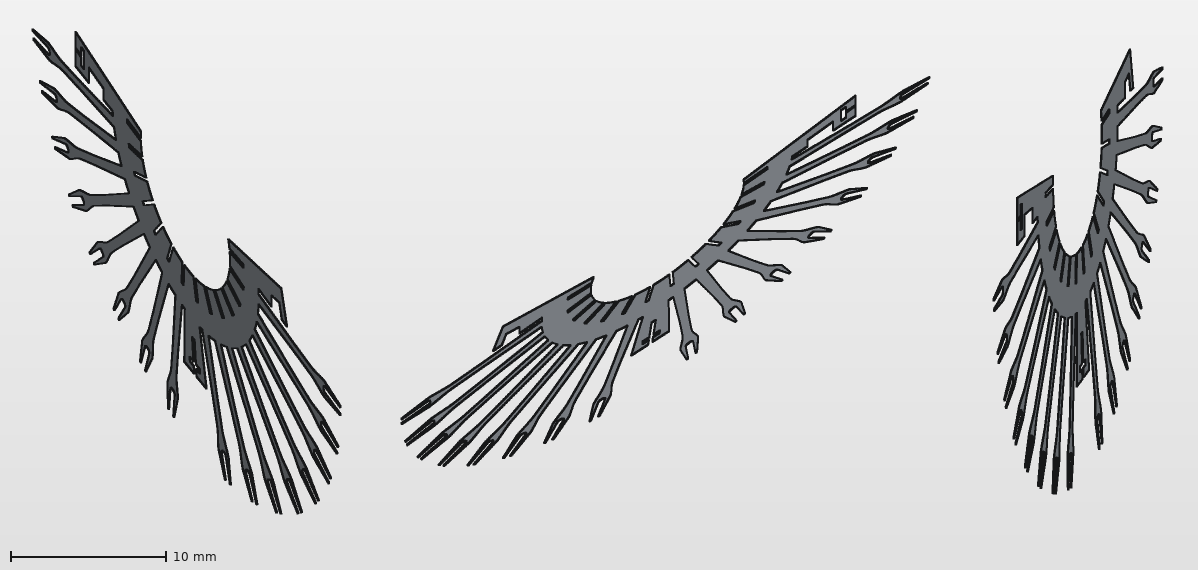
import cadquery as cq
import math


WIDTH = 42.75
SHEET = 0.05
OVERCUT = 0.43

RING_INNER = 6.2
RING_OUTER = 10.2
RIGHT_END_ANGLE = 16.1
LEFT_END_ANGLE = 173.9
ROOT = 9.4

TINE_GAPS = 17
TINE_PITCH = 180 / TINE_GAPS
TAB_INDEX = 8
TINE_ROOT_HALF = 0.45
TINE_NECK = 14.95
TINE_FLARE = 17.32
TINE_SHANK_HALF = 0.365
TINE_SHOULDER = 19.35
TINE_SHOULDER_HALF = 0.73
TINE_TIP_HALF = 0.43
LAST_TINE_DIP = math.radians(TINE_PITCH)
TINE_TIP = (WIDTH - TINE_TIP_HALF * math.sin(LAST_TINE_DIP)) / (1 + math.cos(LAST_TINE_DIP))
FLARE_END_SLOPE = 0.1
FORK_BOTTOM = 19.2
FORK_HALF = 0.3
FORK_CORNER = 0.2

SLOT_COUNT = 14
SLOT_PITCH = 14.4
SLOT_FIRST_ANGLE = 8
SLOT_WIDTH = 0.28
SLOT_END = 8.13

TAB_END = 15.0
TAB_HALF_ANGLE = 5.9
TAB_SLIT_START = 11.9
TAB_SLIT_WIDTH = 0.35
TAB_CROSS_AT = 14.15
TAB_CROSS_LENGTH = 1.4
TAB_CROSS_WIDTH = 0.4

HOOK_END = 13.85
HOOK_DROP = 2.9
HOOK_NOTCH_INNER = 12.05
HOOK_NOTCH_OUTER = 13.17
HOOK_NOTCH_DEPTH = 1.4
HOOK_FOOT_Z = 0.95

LEFT_EDGE_X = -15.25
LEFT_TOE_X = -13.45
LEFT_HEEL_X = -11.38
LEFT_TOE_Z = -1.55
LEFT_TOE_RISE = 0.13
LEFT_NOTCH_Z = 0.0
LEFT_NOTCH_DROP = 0.1
LEFT_HEEL_Z = -1.1
LEFT_SLOT_X = -14.3
LEFT_SLOT_Z = 0.1
LEFT_SLOT_LENGTH = 1.65
LEFT_SLOT_WIDTH = 0.4
LEFT_SLIT_INNER_WIDTH = 0.25
LEFT_SLIT_EDGE_WIDTH = 0.1


def polar(radius, angle):
    """Point on the sheet at a radius and an angle in degrees."""
    turn = math.radians(angle)
    return (radius * math.cos(turn), radius * math.sin(turn))


def turned(point, angle):
    """Turn a point given along and across a radial line into sheet coordinates."""
    along, across = point
    turn = math.radians(angle)
    x = along * math.cos(turn) - across * math.sin(turn)
    z = along * math.sin(turn) + across * math.cos(turn)
    return (x, z)


def plate(outline):
    return outline.close().extrude(SHEET)


def polygon(points):
    return plate(cq.Workplane("XZ").polyline(points))


def box(along_start, along_end, width):
    """Rectangle centred on the +X axis."""
    half = width / 2
    return polygon([(along_start, -half), (along_end, -half), (along_end, half), (along_start, half)])


def swing(shape, angle):
    """Swing a shape lying along +X about the ring centre to the given angle."""
    return shape.rotate((0, 0, 0), (0, -1, 0), angle)


def make_ring():
    middle = (RIGHT_END_ANGLE + LEFT_END_ANGLE - 360) / 2
    return plate(
        cq.Workplane("XZ")
        .moveTo(*polar(RING_INNER, RIGHT_END_ANGLE))
        .lineTo(*polar(RING_OUTER, RIGHT_END_ANGLE))
        .threePointArc(polar(RING_OUTER, middle), polar(RING_OUTER, LEFT_END_ANGLE))
        .lineTo(*polar(RING_INNER, LEFT_END_ANGLE))
        .threePointArc(polar(RING_INNER, middle), polar(RING_INNER, RIGHT_END_ANGLE))
    )


def make_tine():
    body = plate(
        cq.Workplane("XZ")
        .moveTo(ROOT, -TINE_ROOT_HALF)
        .lineTo(TINE_NECK, -TINE_SHANK_HALF)
        .lineTo(TINE_FLARE, -TINE_SHANK_HALF)
        .spline([(TINE_SHOULDER, -TINE_SHOULDER_HALF)], [(1, 0), (1, -FLARE_END_SLOPE)], includeCurrent=True)
        .lineTo(TINE_TIP, -TINE_TIP_HALF)
        .lineTo(TINE_TIP, TINE_TIP_HALF)
        .lineTo(TINE_SHOULDER, TINE_SHOULDER_HALF)
        .spline([(TINE_FLARE, TINE_SHANK_HALF)], [(-1, -FLARE_END_SLOPE), (-1, 0)], includeCurrent=True)
        .lineTo(TINE_NECK, TINE_SHANK_HALF)
        .lineTo(ROOT, TINE_ROOT_HALF)
    )
    fork = box(FORK_BOTTOM, TINE_TIP + OVERCUT, 2 * FORK_HALF).edges("|Y and <X").fillet(FORK_CORNER)
    return body.cut(fork)


def make_slotted_tab():
    slope = math.tan(math.radians(TAB_HALF_ANGLE))
    base_half = ROOT * slope
    end_half = TAB_END * slope
    body = polygon(
        [(ROOT, -base_half), (TAB_END, -end_half), (TAB_END, end_half), (ROOT, base_half)]
    )
    slit = box(TAB_SLIT_START, TAB_END + OVERCUT, TAB_SLIT_WIDTH)
    cross_start = TAB_CROSS_AT - TAB_CROSS_WIDTH / 2
    cross = box(cross_start, cross_start + TAB_CROSS_WIDTH, TAB_CROSS_LENGTH)
    return body.cut(slit).cut(cross)


def make_right_hook():
    notch_inner = turned((HOOK_NOTCH_INNER, -HOOK_NOTCH_DEPTH), RIGHT_END_ANGLE)
    toe_outer = turned((HOOK_END, -HOOK_DROP), RIGHT_END_ANGLE)
    notch_outer = turned((HOOK_NOTCH_OUTER, -HOOK_NOTCH_DEPTH), RIGHT_END_ANGLE)
    toe_run = (notch_outer[1] - toe_outer[1]) * math.tan(math.radians(RIGHT_END_ANGLE))
    return polygon([
        polar(ROOT, RIGHT_END_ANGLE),
        polar(HOOK_END, RIGHT_END_ANGLE),
        toe_outer,
        (notch_outer[0] + toe_run, toe_outer[1]),
        notch_outer,
        notch_inner,
        (notch_inner[0], HOOK_FOOT_Z),
        (ROOT, HOOK_FOOT_Z),
    ])


def make_left_hook():
    end_slope = math.tan(math.radians(LEFT_END_ANGLE))
    body = polygon([
        (-ROOT, -ROOT * end_slope),
        (LEFT_EDGE_X, LEFT_EDGE_X * end_slope),
        (LEFT_EDGE_X, LEFT_TOE_Z),
        (LEFT_TOE_X, LEFT_TOE_Z + LEFT_TOE_RISE),
        (LEFT_TOE_X, LEFT_NOTCH_Z),
        (LEFT_HEEL_X, LEFT_NOTCH_Z - LEFT_NOTCH_DROP),
        (LEFT_HEEL_X, LEFT_HEEL_Z),
        (-ROOT, LEFT_HEEL_Z + LEFT_TOE_RISE),
    ])
    slot = (
        cq.Workplane("XZ")
        .center(LEFT_SLOT_X, LEFT_SLOT_Z)
        .rect(LEFT_SLOT_WIDTH, LEFT_SLOT_LENGTH)
        .extrude(SHEET)
    )
    slit = polygon([
        (LEFT_SLOT_X, LEFT_SLOT_Z - LEFT_SLIT_INNER_WIDTH / 2),
        (LEFT_SLOT_X, LEFT_SLOT_Z + LEFT_SLIT_INNER_WIDTH / 2),
        (LEFT_EDGE_X, LEFT_SLOT_Z + LEFT_SLIT_EDGE_WIDTH / 2),
        (LEFT_EDGE_X, LEFT_SLOT_Z - LEFT_SLIT_EDGE_WIDTH / 2),
    ])
    return body.cut(slot).cut(slit)


result = make_ring().union(make_right_hook()).union(make_left_hook())

tine = make_tine()
for index in range(TINE_GAPS):
    piece = make_slotted_tab() if index == TAB_INDEX else tine
    result = result.union(swing(piece, -index * TINE_PITCH))

slot = box(RING_INNER - OVERCUT, SLOT_END, SLOT_WIDTH)
for index in range(SLOT_COUNT):
    result = result.cut(swing(slot, SLOT_FIRST_ANGLE - index * SLOT_PITCH))